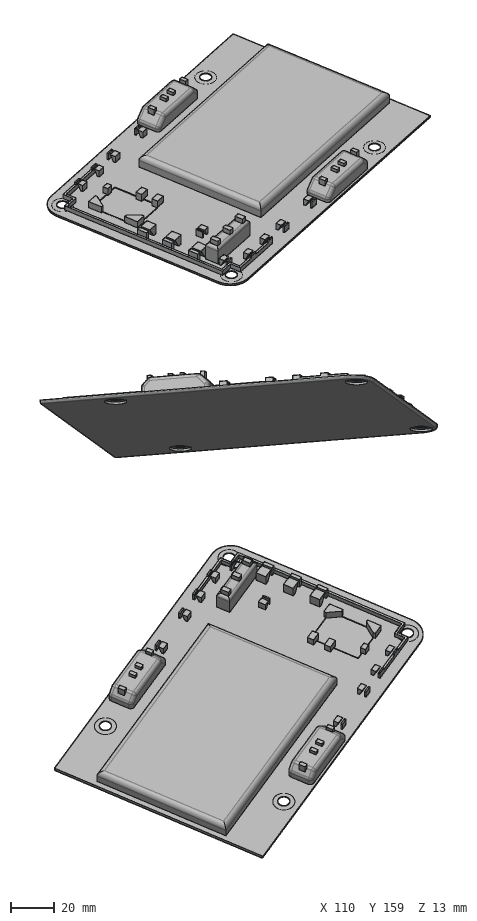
import cadquery as cq
BOARD_WIDTH = 110.0
BOARD_LENGTH = 159.0
BOARD_THICKNESS = 1.6
CORNER_RADIUS = 10.0
UNDERSIDE_RADIUS = 1.0

HOLE_DIAMETER = 5.5
HOLE_X = 47.0
HOLE_YS = (8.0, 125.0)
COUNTERBORE_DIAMETER = 10.2
COUNTERBORE_DEPTH = 1.1

DISPLAY_WIDTH = 68.0
DISPLAY_FRONT = 51.2
DISPLAY_REAR = 156.5
DISPLAY_TOP = 8.0
DISPLAY_EDGE_RADIUS = 2.5

MODULE_X = 47.4
MODULE_WIDTH = 12.9
MODULE_FRONT = 77.6
MODULE_REAR = 110.7
MODULE_TOP = 8.9
MODULE_FRONT_HEIGHT = 4.0
MODULE_REAR_HEIGHT = 5.2
MODULE_EDGE_RADIUS = 1.9
MODULE_PIN_X = 47.7
MODULE_PIN_WIDTH = 3.3
MODULE_PIN_LENGTH = 1.9
MODULE_PIN_YS = (82.0, 92.0, 97.8, 108.0)
MODULE_PIN_TOP = 10.7
MODULE_PIN_ROOT = 4.8

SWITCH_LEFT = 30.5
SWITCH_WIDTH = 7.0
SWITCH_FRONT = 11.0
SWITCH_REAR = 37.0
SWITCH_TOP = 10.5
SWITCH_EDGE_RADIUS = 1.5
SWITCH_PIN_WIDTH = 4.1
SWITCH_PIN_LENGTH = 2.4
SWITCH_PIN_X = 34.2
SWITCH_PIN_PITCH = 10.2
SWITCH_PIN_TOP = 13.0

BODY_FOOT_SHARE = 0.4

CHIP_BODY = 2.9
CHIP_WIDTH = 3.7
CHIP_GAP = 1.0
CHIP_STRIP = 0.8
CHIP_TOP = 5.1
CHIP_LENGTH = CHIP_BODY + CHIP_GAP + CHIP_STRIP
SIDE_CHIP_OUTER_X = 49.5
SIDE_CHIP_YS = (22.9, 36.4, 49.6, 72.0)
CENTRE_CHIP_X = 18.8
CENTRE_CHIP_REAR = 27.7
SWITCH_CHIP_LEFT = 38.2
SWITCH_CHIP_Y = 12.7

BUTTON_SIZE = 5.1
BUTTON_REAR = 14.0
BUTTON_GAP = 1.0
BUTTON_STRIP = 1.7
BUTTON_TOP = 6.8
BUTTON_XS = (-1.6, 12.4, 26.9)

WALL_THICKNESS = 1.1
WALL_TOP = 4.0
WALL_OUTER_X = SIDE_CHIP_OUTER_X
WALL_STEP_X = 44.0
WALL_FRONT = 5.1
WALL_STEP_Y = 11.8
WALL_REAR = SIDE_CHIP_YS[1] + CHIP_WIDTH / 2

CONTROLLER_LEFT = -34.7
CONTROLLER_RIGHT = -9.7
CONTROLLER_FRONT = 13.8
CONTROLLER_REAR = 32.5
CONTROLLER_CLIP_X = 6.0
CONTROLLER_CLIP_Y = 4.3
CONTROLLER_DEPTH = 0.5
CONTROLLER_FLOOR = BOARD_THICKNESS - CONTROLLER_DEPTH
WEDGE_OVERHANG = 1.1
WEDGE_TOP = 5.1
TAB_WIDTH = 3.2
TAB_LENGTH = 4.6
REAR_TAB_XS = (-20.2, -11.3)
REAR_TAB_FRONT = 30.8
SIDE_TAB_LEFT = -36.5
SIDE_TAB_LENGTH = 2.5
SIDE_TAB_Y = 27.3


def block(left, right, front, rear, top, bottom=BOARD_THICKNESS):
    """Box given by its side positions."""
    return cq.Workplane("XY").box(
        right - left, rear - front, top - bottom, centered=False
    ).translate((left, front, bottom))


def prism(points, top, bottom=BOARD_THICKNESS):
    """Upright prism over an outline of straight lines."""
    return cq.Workplane("XY", origin=(0, 0, bottom)).polyline(points).close().extrude(top - bottom)


def both_sides(body):
    """The body together with its mirror image across X = 0."""
    return body.union(body.mirror("YZ"))


def make_board():
    half = BOARD_WIDTH / 2
    board = block(-half, half, 0, BOARD_LENGTH, BOARD_THICKNESS, 0)
    board = board.edges("|Z and <Y").fillet(CORNER_RADIUS)
    board = board.edges("<Z").edges("not >Y").fillet(UNDERSIDE_RADIUS)
    hole_places = [(side * HOLE_X, y) for side in (-1, 1) for y in HOLE_YS]
    underside = cq.Workplane("XY").pushPoints(hole_places)
    holes = underside.circle(HOLE_DIAMETER / 2).extrude(BOARD_THICKNESS)
    counterbores = underside.circle(COUNTERBORE_DIAMETER / 2).extrude(COUNTERBORE_DEPTH)
    return board.cut(holes).cut(counterbores)


def make_display():
    half = DISPLAY_WIDTH / 2
    display = block(-half, half, DISPLAY_FRONT, DISPLAY_REAR, DISPLAY_TOP)
    return display.faces(">Z").edges().fillet(DISPLAY_EDGE_RADIUS)


def make_module():
    """Right-hand side module: a rounded body with sloped ends and a row of pins."""
    profile = [
        (MODULE_FRONT, BOARD_THICKNESS),
        (MODULE_FRONT, MODULE_FRONT_HEIGHT),
        (MODULE_FRONT + MODULE_TOP - MODULE_FRONT_HEIGHT, MODULE_TOP),
        (MODULE_REAR - MODULE_TOP + MODULE_REAR_HEIGHT, MODULE_TOP),
        (MODULE_REAR, MODULE_REAR_HEIGHT),
        (MODULE_REAR, BOARD_THICKNESS),
    ]
    left = MODULE_X - MODULE_WIDTH / 2
    module = cq.Workplane("YZ", origin=(left, 0, 0)).polyline(profile).close().extrude(MODULE_WIDTH)
    module = module.edges("not <Z").fillet(MODULE_EDGE_RADIUS)
    half_width = MODULE_PIN_WIDTH / 2
    half_length = MODULE_PIN_LENGTH / 2
    for y in MODULE_PIN_YS:
        module = module.union(block(
            MODULE_PIN_X - half_width, MODULE_PIN_X + half_width,
            y - half_length, y + half_length, MODULE_PIN_TOP, MODULE_PIN_ROOT,
        ))
    return module


def make_switch():
    switch = block(SWITCH_LEFT, SWITCH_LEFT + SWITCH_WIDTH, SWITCH_FRONT, SWITCH_REAR, SWITCH_TOP)
    switch = switch.faces(">Z").edges().fillet(SWITCH_EDGE_RADIUS)
    middle = (SWITCH_FRONT + SWITCH_REAR) / 2
    half_width = SWITCH_PIN_WIDTH / 2
    half_length = SWITCH_PIN_LENGTH / 2
    for step in (-1, 0, 1):
        y = middle + step * SWITCH_PIN_PITCH
        switch = switch.union(block(
            SWITCH_PIN_X - half_width, SWITCH_PIN_X + half_width,
            y - half_length, y + half_length, SWITCH_PIN_TOP,
        ))
    return switch


def two_piece_part(body, gap, strip, width, top):
    """Body starting at X = 0 with its strip toward +X, centred on Y = 0."""
    half = width / 2
    profile = [
        (0, BOARD_THICKNESS),
        (body * BODY_FOOT_SHARE, BOARD_THICKNESS),
        (body, top),
        (0, top),
    ]
    leaning_body = cq.Workplane("XZ", origin=(0, half, 0)).polyline(profile).close().extrude(width)
    strip_start = body + gap
    return leaning_body.union(block(strip_start, strip_start + strip, -half, half, top))


def facing_front(part):
    """Turn a two-piece part so that its strip lies toward the front edge."""
    return part.rotate((0, 0, 0), (0, 0, 1), -90)


def make_chips():
    chip = two_piece_part(CHIP_BODY, CHIP_GAP, CHIP_STRIP, CHIP_WIDTH, CHIP_TOP)
    chips = chip.translate((SWITCH_CHIP_LEFT, SWITCH_CHIP_Y, 0))
    chips = chips.union(facing_front(chip).translate((CENTRE_CHIP_X, CENTRE_CHIP_REAR, 0)))
    for y in SIDE_CHIP_YS:
        chips = chips.union(both_sides(chip.translate((SIDE_CHIP_OUTER_X - CHIP_LENGTH, y, 0))))
    return chips


def make_button(x):
    button = two_piece_part(BUTTON_SIZE, BUTTON_GAP, BUTTON_STRIP, BUTTON_SIZE, BUTTON_TOP)
    return facing_front(button).translate((x, BUTTON_REAR, 0))


def wall_outline(inset):
    """Stepped U outline, closed at the rear, moved inward by the inset."""
    outer = WALL_OUTER_X - inset
    step = WALL_STEP_X - inset
    step_y = WALL_STEP_Y + inset
    front = WALL_FRONT + inset
    right = [(step, front), (step, step_y), (outer, step_y), (outer, WALL_REAR)]
    left = [(-x, y) for x, y in reversed(right)]
    return right + left


def make_wall():
    return prism(wall_outline(0), WALL_TOP).cut(prism(wall_outline(WALL_THICKNESS), WALL_TOP))


def make_controller_recess():
    return prism([
        (CONTROLLER_LEFT, CONTROLLER_REAR),
        (CONTROLLER_LEFT, CONTROLLER_FRONT + CONTROLLER_CLIP_Y),
        (CONTROLLER_LEFT + CONTROLLER_CLIP_X, CONTROLLER_FRONT),
        (CONTROLLER_RIGHT - CONTROLLER_CLIP_X, CONTROLLER_FRONT),
        (CONTROLLER_RIGHT, CONTROLLER_FRONT + CONTROLLER_CLIP_Y),
        (CONTROLLER_RIGHT, CONTROLLER_REAR),
    ], BOARD_THICKNESS, CONTROLLER_FLOOR)


def make_wedge(side_x, outward):
    """Wedge outside one clipped front corner; outward is -1 on the left and 1 on the right."""
    outer_x = side_x + outward * WEDGE_OVERHANG
    inner_x = side_x - outward * CONTROLLER_CLIP_X
    front = CONTROLLER_FRONT - WEDGE_OVERHANG
    clip_y = CONTROLLER_FRONT + CONTROLLER_CLIP_Y
    return prism([
        (outer_x, front),
        (outer_x, clip_y),
        (side_x, clip_y),
        (inner_x, CONTROLLER_FRONT),
        (inner_x, front),
    ], WEDGE_TOP)


def make_controller_mounts():
    """Both wedges and the three tabs that reach over the recess edge."""
    mounts = make_wedge(CONTROLLER_LEFT, -1).union(make_wedge(CONTROLLER_RIGHT, 1))
    half = TAB_WIDTH / 2
    rear = REAR_TAB_FRONT + TAB_LENGTH
    for x in REAR_TAB_XS:
        mounts = mounts.union(block(x - half, x + half, REAR_TAB_FRONT, rear, WEDGE_TOP, CONTROLLER_FLOOR))
    side_tab_right = SIDE_TAB_LEFT + SIDE_TAB_LENGTH
    return mounts.union(block(
        SIDE_TAB_LEFT, side_tab_right,
        SIDE_TAB_Y - half, SIDE_TAB_Y + half, WEDGE_TOP, CONTROLLER_FLOOR,
    ))


result = make_board()
result = result.cut(make_controller_recess())
result = result.union(make_controller_mounts())
result = result.union(make_display())
result = result.union(both_sides(make_module()))
result = result.union(make_switch())
result = result.union(make_wall())
result = result.union(make_chips())
for button_x in BUTTON_XS:
    result = result.union(make_button(button_x))